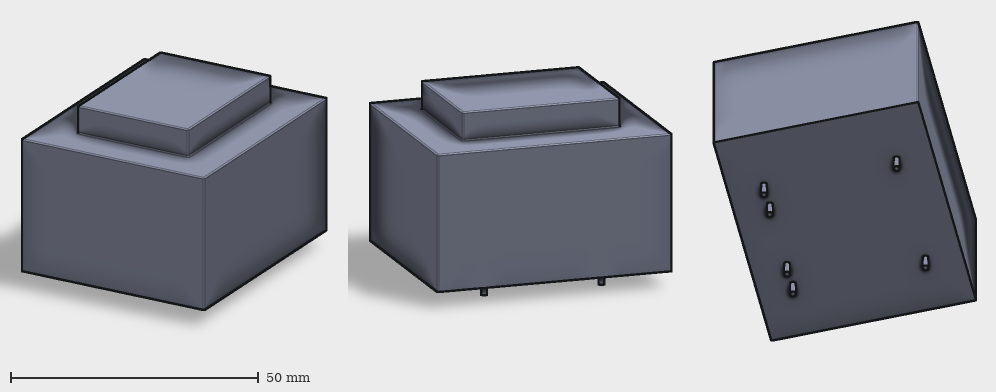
import cadquery as cq

block_x = 42.5
block_y = 50.0
block_height = 28.75
block_round = 0.3

pad_x = 25.7
pad_y = 33.6
pad_height = 6.0
pad_round = 0.3

pin_diameter = 1.2
pin_length = 3.5
row_spacing = 27.5
inner_pin_y = 7.5
outer_pin_y = 12.5


def make_block():
    """Rectangular block with a sharp base and rounded sides and top."""
    block = cq.Workplane("XY").box(block_x, block_y, block_height, centered=(True, True, False))
    return block.edges("|Z or >Z").fillet(block_round)


def make_pad():
    """Raised pad with rounded sides and top, standing on the block."""
    pad = (
        cq.Workplane("XY")
        .workplane(offset=block_height)
        .box(pad_x, pad_y, pad_height, centered=(True, True, False))
    )
    return pad.edges("|Z or >Z").fillet(pad_round)


def make_housing():
    """Block and pad as one solid, with a concave round around the foot of the pad."""
    housing = make_block().union(make_pad())
    reach_x = pad_x / 2 + pad_round / 2
    reach_y = pad_y / 2 + pad_round / 2
    reach_z = pad_round / 2
    pad_foot = cq.selectors.BoxSelector(
        (-reach_x, -reach_y, block_height - reach_z),
        (reach_x, reach_y, block_height + reach_z),
        boundingbox=True,
    )
    return housing.edges(pad_foot).fillet(pad_round)


def make_pin(x, y):
    """Round pin hanging from the base of the block."""
    return cq.Workplane("XY").center(x, y).circle(pin_diameter / 2).extrude(-pin_length)


pin_rows = [
    (-row_spacing / 2, [-outer_pin_y, outer_pin_y]),
    (row_spacing / 2, [-outer_pin_y, -inner_pin_y, inner_pin_y, outer_pin_y]),
]

housing = make_housing()
pins = [make_pin(x, y) for x, row in pin_rows for y in row]

result = cq.Compound.makeCompound([housing.val(), *[pin.val() for pin in pins]])